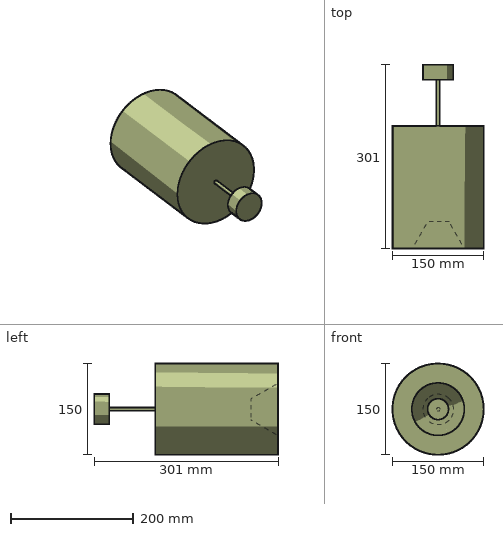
import cadquery as cq

total_length = 301.0
body_diameter = 150.0
body_length = 201.0
cap_diameter = 50.0
cap_length = 25.0
rod_diameter = 6.0
recess_mouth_diameter = 86.0
recess_floor_diameter = 34.3
recess_depth = 44.8

cap_start = total_length - cap_length


def cylinder(diameter, start, end):
    """Solid cylinder on the Y axis between two Y positions."""
    plane = cq.Workplane("XZ", origin=(0, start, 0))
    return plane.circle(diameter / 2).extrude(start - end)


def conical_recess():
    """Truncated cone that narrows from the open face to a flat floor."""
    profile = [
        (0, 0),
        (0, -recess_mouth_diameter / 2),
        (recess_depth, -recess_floor_diameter / 2),
        (recess_depth, 0),
    ]
    return cq.Workplane("YZ").polyline(profile).close().revolve(360, (0, 0, 0), (1, 0, 0))


body = cylinder(body_diameter, 0, body_length).cut(conical_recess())
rod = cylinder(rod_diameter, body_length, cap_start)
cap = cylinder(cap_diameter, cap_start, total_length)

result = body.union(rod).union(cap)